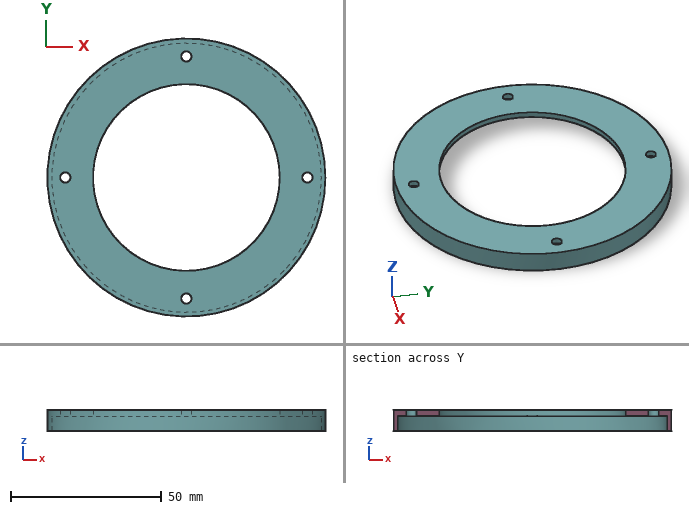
import cadquery as cq

outer_diameter = 92.5
height = 7.0
bore_diameter = 62.0
recess_diameter = 89.5
plate_thickness = 2.0
hole_diameter = 3.3
hole_circle_diameter = 80.5
hole_count = 4

ring = (
    cq.Workplane("XY")
    .circle(outer_diameter / 2)
    .circle(bore_diameter / 2)
    .extrude(height)
)

recess_depth = height - plate_thickness
recess = cq.Workplane("XY").circle(recess_diameter / 2).extrude(recess_depth)

screw_holes = (
    cq.Workplane("XY")
    .polarArray(hole_circle_diameter / 2, 0, 360, hole_count)
    .circle(hole_diameter / 2)
    .extrude(height)
)

result = ring.cut(recess).cut(screw_holes)